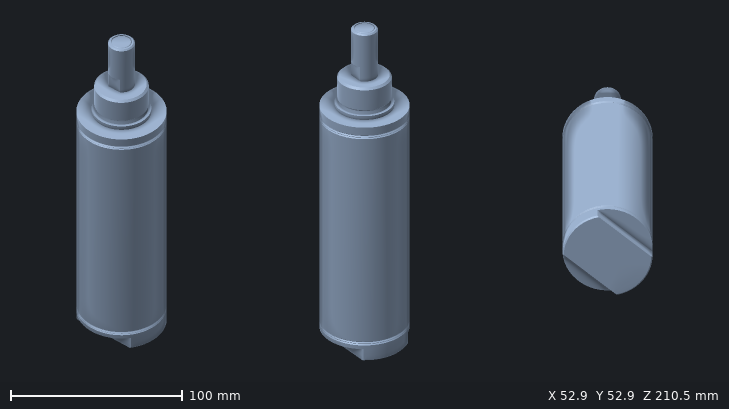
import cadquery as cq

TOTAL_HEIGHT = 210.5
BARREL_RADIUS = 26.43

TENON_HEIGHT = 8.0
TENON_WIDTH = 32.0
BOTTOM_CHAMFER = 0.8

LOWER_GROOVE_Z = 10.5
UPPER_GROOVE_Z = 150.5
GROOVE_WIDTH = 1.3
GROOVE_DEPTH = 0.6
GROOVES_PER_PAIR = 2

BARREL_TOP = 158.3
STEP_TOP = 160.9
STEP_RADIUS = 17.5
RELIEF_RADIUS = 14.7
RELIEF_FOOT_RADIUS = 15.5
RELIEF_TOP = 162.8
COLLAR_RADIUS = 16.0
COLLAR_TOP = 178.8
COLLAR_CHAMFER = 1.3

ROD_DIAMETER = 15.8
ROD_CHAMFER = 0.8
FLAT_SPACING = 13.0
FLAT_TOP = 188.2
END_GROOVE_OUTER_RADIUS = 6.1
END_GROOVE_INNER_RADIUS = 5.5
END_GROOVE_DEPTH = 0.6


def revolve_profile(points):
    """Revolve a closed (radius, height) outline about the Z axis."""
    return cq.Workplane("XZ").polyline(points).close().revolve(360, (0, 0), (0, 1))


def make_turned_housing():
    """Barrel, step, relief and collar as one turned shape."""
    relief_depth = COLLAR_RADIUS - RELIEF_RADIUS
    return revolve_profile([
        (0, 0),
        (BARREL_RADIUS - BOTTOM_CHAMFER, 0),
        (BARREL_RADIUS, BOTTOM_CHAMFER),
        (BARREL_RADIUS, BARREL_TOP),
        (STEP_RADIUS, BARREL_TOP),
        (STEP_RADIUS, STEP_TOP),
        (RELIEF_FOOT_RADIUS, STEP_TOP),
        (RELIEF_RADIUS, RELIEF_TOP),
        (COLLAR_RADIUS, RELIEF_TOP + relief_depth),
        (COLLAR_RADIUS, COLLAR_TOP - COLLAR_CHAMFER),
        (COLLAR_RADIUS - COLLAR_CHAMFER, COLLAR_TOP),
        (0, COLLAR_TOP),
    ])


def make_v_groove(bottom_z):
    """Ring that cuts one V groove, its lower edge at bottom_z."""
    return revolve_profile([
        (BARREL_RADIUS, bottom_z),
        (BARREL_RADIUS - GROOVE_DEPTH, bottom_z + GROOVE_WIDTH / 2),
        (BARREL_RADIUS, bottom_z + GROOVE_WIDTH),
    ])


def make_side_cutters(spacing, bottom_z, height):
    """Two blocks that leave parallel faces the given spacing apart along Y."""
    block_size = 2 * BARREL_RADIUS
    block_center = (spacing + block_size) / 2
    return (
        cq.Workplane("XY", origin=(0, 0, bottom_z))
        .pushPoints([(0, -block_center), (0, block_center)])
        .rect(block_size, block_size)
        .extrude(height)
    )


def make_housing():
    """Turned housing with its V grooves and bottom tenon."""
    housing = make_turned_housing()
    for pair_z in (LOWER_GROOVE_Z, UPPER_GROOVE_Z):
        for index in range(GROOVES_PER_PAIR):
            housing = housing.cut(make_v_groove(pair_z + index * GROOVE_WIDTH))
    return housing.cut(make_side_cutters(TENON_WIDTH, 0, TENON_HEIGHT))


def make_rod():
    """Chamfered rod that stands on the collar, with flats and a ring groove in its end."""
    rod = (
        cq.Workplane("XY", origin=(0, 0, COLLAR_TOP))
        .circle(ROD_DIAMETER / 2)
        .extrude(TOTAL_HEIGHT - COLLAR_TOP)
        .faces(">Z")
        .chamfer(ROD_CHAMFER)
    )
    end_groove = revolve_profile([
        (END_GROOVE_OUTER_RADIUS, TOTAL_HEIGHT - END_GROOVE_DEPTH),
        (END_GROOVE_OUTER_RADIUS, TOTAL_HEIGHT),
        (END_GROOVE_INNER_RADIUS, TOTAL_HEIGHT),
    ])
    flats = make_side_cutters(FLAT_SPACING, COLLAR_TOP, FLAT_TOP - COLLAR_TOP)
    return rod.cut(end_groove).cut(flats)


housing = make_housing()
rod = make_rod()

result = cq.Compound.makeCompound([housing.val(), rod.val()])